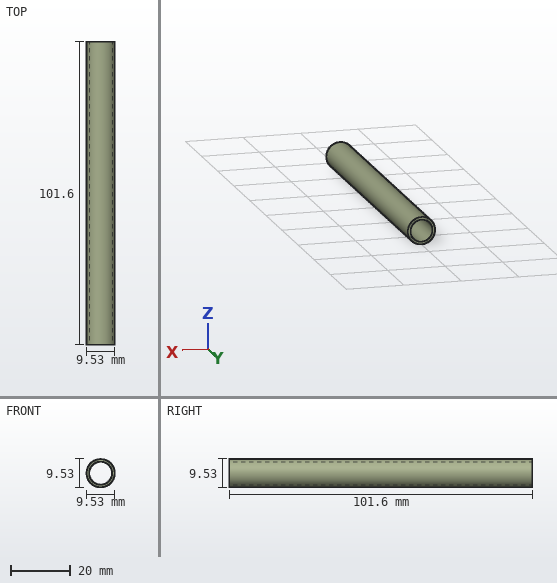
import cadquery as cq

OUTER_DIAMETER = 9.525
INNER_DIAMETER = 7.62
LENGTH = 101.6


def make_tube():
    """Ring profile on the +Y end plane, extruded the full length towards -Y."""
    end_plane = cq.Workplane("XZ", origin=(0, LENGTH / 2, 0))
    profile = end_plane.circle(OUTER_DIAMETER / 2).circle(INNER_DIAMETER / 2)
    return profile.extrude(LENGTH)


result = make_tube()